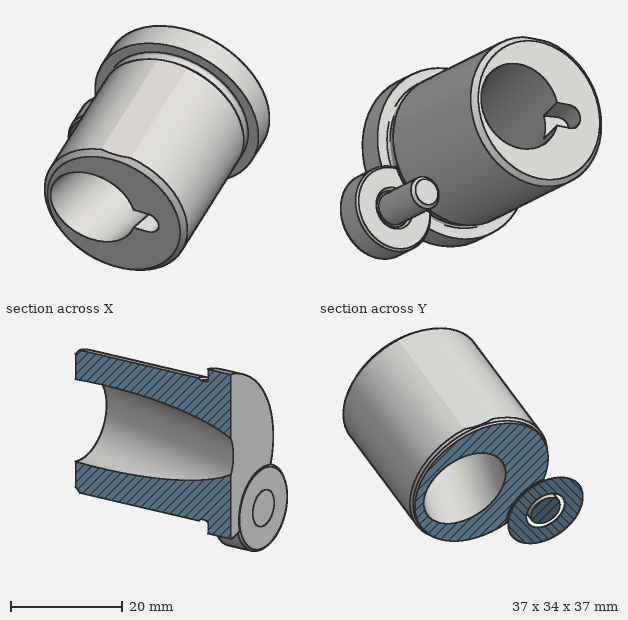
import cadquery as cq
import math


total_length = 34.0
overall_width = 37.0
flange_radius = 32.0 / 2
flange_thickness = 5.05
barrel_radius = 14.0
barrel_chamfer = 1.0
flat_height = 13.7

groove_depth = 0.4
groove_fillet = 0.4
groove_width = 2.0
groove_shoulder = 0.48
groove_radius = barrel_radius - groove_depth

bore_radius = 8.0
bore_tilt = 15.0
bore_offset = 4.1
bore_overrun = 11.1

keyway_width = 4.35
keyway_end_distance = 12.45
keyway_depth = 10.0

disc_radius = 16.0 / 2
disc_offset = overall_width - flange_radius - disc_radius
disc_back_gap = 0.1
disc_thickness = 5.85
disc_chamfer = 0.4
disc_front = disc_back_gap + disc_thickness

pin_radius = 3.0
pin_length = 16.8
pin_chamfer = 0.6
pin_seat_radius = 3.4
hole_chamfer = 0.48
seat_cone_length = pin_seat_radius - pin_radius
seat_length = disc_thickness - hole_chamfer - seat_cone_length


def cylinder_along_minus_y(radius, depth_start, length):
    """Cylinder on the disc axis that starts depth_start below the flange back."""
    start = cq.Vector(-disc_offset, -depth_start, -disc_offset)
    return cq.Workplane(obj=cq.Solid.makeCylinder(radius, length, start, cq.Vector(0, -1, 0)))


def make_bushing_blank():
    """Flange, relief groove and chamfered barrel as one turned profile."""
    groove_end = flange_thickness + groove_width
    fillet_diagonal = groove_fillet * (1 - math.sqrt(0.5))
    profile = (
        cq.Workplane("XY")
        .lineTo(flange_radius, 0)
        .lineTo(flange_radius, -flange_thickness)
        .lineTo(groove_radius + groove_fillet, -flange_thickness)
        .threePointArc(
            (groove_radius + fillet_diagonal, -flange_thickness - fillet_diagonal),
            (groove_radius, -flange_thickness - groove_fillet),
        )
        .lineTo(groove_radius, -groove_end + groove_shoulder)
        .lineTo(barrel_radius, -groove_end)
        .lineTo(barrel_radius, -total_length + barrel_chamfer)
        .lineTo(barrel_radius - barrel_chamfer, -total_length)
        .lineTo(0, -total_length)
        .close()
    )
    return profile.revolve(360, (0, 0, 0), (0, 1, 0))


def make_flat_cutter():
    """Block above the barrel flat, clear of the flange and its groove fillet."""
    length = total_length - flange_thickness - groove_fillet
    block = cq.Workplane("XY").box(
        2 * barrel_radius, length, barrel_radius, centered=(True, False, False)
    )
    return block.translate((0, -total_length, flat_height))


def make_bore_cutter():
    """Inclined bore together with its round-ended keyway of limited depth."""
    tilt = math.radians(bore_tilt)
    bore_plane = cq.Plane(
        origin=(-bore_offset, -total_length, 0),
        xDir=(math.cos(tilt), -math.sin(tilt), 0),
        normal=(math.sin(tilt), math.cos(tilt), 0),
    )
    start = cq.Workplane(bore_plane).workplane(offset=-bore_overrun)
    bore = start.circle(bore_radius).extrude(total_length + 2 * bore_overrun)
    half_width = keyway_width / 2
    keyway = (
        start.moveTo(0, -half_width)
        .lineTo(keyway_end_distance - half_width, -half_width)
        .threePointArc((keyway_end_distance, 0), (keyway_end_distance - half_width, half_width))
        .lineTo(0, half_width)
        .close()
        .extrude(bore_overrun + keyway_depth)
    )
    return bore.union(keyway)


def make_bushing():
    """Flanged bushing with flat, inclined keyed bore and disc recess."""
    disc_recess = cylinder_along_minus_y(disc_radius, 0, disc_front)
    return make_bushing_blank().cut(make_flat_cutter()).cut(make_bore_cutter()).cut(disc_recess)


def make_disc():
    """Chamfered disc with a through hole, countersunk at the front."""
    disc = cylinder_along_minus_y(disc_radius, disc_back_gap, disc_thickness)
    disc = disc.faces("<Y or >Y").edges().chamfer(disc_chamfer)
    disc = disc.cut(cylinder_along_minus_y(pin_seat_radius, disc_back_gap, disc_thickness))
    return disc.faces("<Y").edges(cq.selectors.RadiusNthSelector(0)).chamfer(hole_chamfer)


def make_pin():
    """Pin with a seat that fills the disc hole and a cone down to the shank."""
    seat = cylinder_along_minus_y(pin_seat_radius, disc_back_gap, seat_length + seat_cone_length)
    seat = seat.faces("<Y").edges().chamfer(seat_cone_length)
    shank = cylinder_along_minus_y(pin_radius, disc_back_gap, pin_length - disc_back_gap)
    return seat.union(shank.faces("<Y").edges().chamfer(pin_chamfer))


bushing = make_bushing()
disc = make_disc()
pin = make_pin()

result = cq.Compound.makeCompound([bushing.val(), disc.val(), pin.val()])